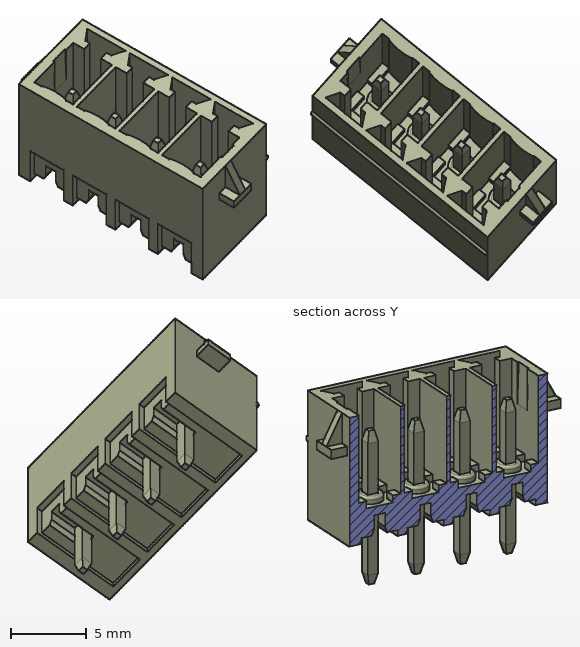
import cadquery as cq


HOUSING_WIDTH = 15.12
HOUSING_DEPTH = 7.0
HOUSING_HEIGHT = 9.2

POLE_COUNT = 4
POLE_PITCH = 3.5
POLE_Y = 2.8
POLE_XS = [(i - (POLE_COUNT - 1) / 2) * POLE_PITCH for i in range(POLE_COUNT)]

FRONT_WALL = 0.74
BACK_WALL = 0.47
CAVITY_WIDTH = 3.17
CAVITY_FLOOR_Z = 3.0
SHOULDER_Y = 5.0
NECK_WIDTH = 1.36
NECK_DEPTH = 0.63
DOVETAIL_ROOT_WIDTH = 2.14
BACK_DRAFT = 0.05

CROSS_RECESS_DEPTH = 0.5
CROSS_WIDTH = 2.0
CROSS_BACK_Y = 4.53
CROSS_BAR_DEPTH = 1.0

BULGE_EDGE = 0.05
BULGE_CROWN = 0.18

BOSS_DIAMETER = 1.8
BOSS_ROUNDING = 0.2

KEY_FRONT_Y = 2.98
KEY_WIDTH = 1.26
KEY_DEPTH = 0.1
KEY_HEIGHT = 2.98

WINDOW_WIDTH = 2.75
WINDOW_HEIGHT = 3.06
WINDOW_DEPTH = 0.42
UNDERCUT_HEIGHT = 0.42
SLOT_HEIGHT = 1.84
FLARE_WIDTH = 0.2
FLARE_HEIGHT = 0.45

OVERALL_WIDTH = 17.5
EAR_REACH = (OVERALL_WIDTH - HOUSING_WIDTH) / 2
EAR_DROP = 2.17
EAR_Y = POLE_Y
EAR_WIDTH = 1.9
EAR_THICKNESS = 0.65
EAR_RIB_WIDTH = 0.6

BEAD_RADIUS = 0.2
BEAD_DROP = 3.45

PIN_SIZE = 0.79
PIN_BOTTOM_Z = -3.5
PIN_TOP_DROP = 1.75
PIN_TOP_Z = HOUSING_HEIGHT - PIN_TOP_DROP
PIN_TIP_SIZE = 0.4
PIN_TIP_LENGTH = 0.79


def block(x_center, width, y_front, y_back, z_bottom, z_top):
    """Box centred on x_center and bounded by the given Y and Z planes."""
    return (
        cq.Workplane("XY")
        .box(width, y_back - y_front, z_top - z_bottom, centered=(True, False, False))
        .translate((x_center, y_front, z_bottom))
    )


def cavity(x):
    """Plug opening: main chamber, narrow neck and a dovetail with a drafted back wall."""
    height = HOUSING_HEIGHT - CAVITY_FLOOR_Z
    neck_back_y = SHOULDER_Y + NECK_DEPTH
    back_y = HOUSING_DEPTH - BACK_WALL
    half_width = CAVITY_WIDTH / 2
    half_root = DOVETAIL_ROOT_WIDTH / 2

    chamber = block(x, CAVITY_WIDTH, FRONT_WALL, SHOULDER_Y, CAVITY_FLOOR_Z, HOUSING_HEIGHT)
    neck = block(x, NECK_WIDTH, SHOULDER_Y, neck_back_y, CAVITY_FLOOR_Z, HOUSING_HEIGHT)
    dovetail = (
        cq.Workplane("XY", origin=(x, 0, CAVITY_FLOOR_Z))
        .moveTo(-half_root, neck_back_y)
        .lineTo(half_root, neck_back_y)
        .lineTo(half_width, back_y)
        .lineTo(-half_width, back_y)
        .close()
        .extrude(height)
    )
    draft_wedge = (
        cq.Workplane("YZ", origin=(x - half_width, 0, 0))
        .moveTo(back_y, CAVITY_FLOOR_Z)
        .lineTo(back_y, HOUSING_HEIGHT)
        .lineTo(back_y - BACK_DRAFT, CAVITY_FLOOR_Z)
        .close()
        .extrude(CAVITY_WIDTH)
    )
    return chamber.union(neck).union(dovetail.cut(draft_wedge))


def cross_recess(x):
    """Shallow cross sunk into the cavity floor around the pin."""
    z_bottom = CAVITY_FLOOR_Z - CROSS_RECESS_DEPTH
    half_bar = CROSS_BAR_DEPTH / 2
    upright = block(x, CROSS_WIDTH, FRONT_WALL, CROSS_BACK_Y, z_bottom, CAVITY_FLOOR_Z)
    bar = block(x, CAVITY_WIDTH, POLE_Y - half_bar, POLE_Y + half_bar, z_bottom, CAVITY_FLOOR_Z)
    return upright.union(bar)


def wall_bulge(x):
    """Curved thickening on the inside of the front wall."""
    half_width = CROSS_WIDTH / 2
    z_bottom = CAVITY_FLOOR_Z - CROSS_RECESS_DEPTH
    return (
        cq.Workplane("XY", origin=(x, FRONT_WALL, z_bottom))
        .moveTo(-half_width, 0)
        .lineTo(-half_width, BULGE_EDGE)
        .threePointArc((0, BULGE_CROWN), (half_width, BULGE_EDGE))
        .lineTo(half_width, 0)
        .close()
        .extrude(HOUSING_HEIGHT - z_bottom)
    )


def pin_boss(x):
    """Round boss standing in the cross recess, with a rounded top edge."""
    return (
        cq.Workplane("XY", origin=(x, POLE_Y, CAVITY_FLOOR_Z - CROSS_RECESS_DEPTH))
        .circle(BOSS_DIAMETER / 2)
        .extrude(CROSS_RECESS_DEPTH)
        .faces(">Z")
        .edges()
        .fillet(BOSS_ROUNDING)
    )


def underside_opening(x):
    """Front window, undercut below the floor and flared slot leading to the pin."""
    half_pin = PIN_SIZE / 2
    half_flare = half_pin + FLARE_WIDTH
    pin_back_y = POLE_Y + half_pin

    window = block(x, WINDOW_WIDTH, 0, WINDOW_DEPTH, 0, WINDOW_HEIGHT)
    undercut = block(x, WINDOW_WIDTH, 0, HOUSING_DEPTH - BACK_WALL, 0, UNDERCUT_HEIGHT)
    slot = block(x, PIN_SIZE, 0, pin_back_y, 0, SLOT_HEIGHT)
    flare = (
        cq.Workplane("XZ", origin=(x, 0, UNDERCUT_HEIGHT))
        .moveTo(-half_flare, 0)
        .lineTo(half_flare, 0)
        .lineTo(half_pin, FLARE_HEIGHT)
        .lineTo(-half_pin, FLARE_HEIGHT)
        .close()
        .extrude(-pin_back_y)
    )
    return window.union(undercut).union(slot).union(flare)


def pin_hole(x):
    """Square hole that the pin fills."""
    half_pin = PIN_SIZE / 2
    return block(x, PIN_SIZE, POLE_Y - half_pin, POLE_Y + half_pin, 0, HOUSING_HEIGHT)


def key_groove(side):
    """Groove in an end wall, deepest at the rim and tapering out below it; side is -1 or 1."""
    wall_x = side * (POLE_XS[-1] + CAVITY_WIDTH / 2)
    return (
        cq.Workplane("XZ", origin=(0, KEY_FRONT_Y, 0))
        .moveTo(wall_x, HOUSING_HEIGHT - KEY_HEIGHT)
        .lineTo(wall_x, HOUSING_HEIGHT)
        .lineTo(wall_x + side * KEY_DEPTH, HOUSING_HEIGHT)
        .close()
        .extrude(-KEY_WIDTH)
    )


def latch_ear(side):
    """Ledge on an end wall with a sloping rib above it; side is -1 or 1."""
    wall_x = side * HOUSING_WIDTH / 2
    ledge_top_z = HOUSING_HEIGHT - EAR_DROP
    ledge = block(
        wall_x + side * EAR_REACH / 2,
        EAR_REACH,
        EAR_Y - EAR_WIDTH / 2,
        EAR_Y + EAR_WIDTH / 2,
        ledge_top_z - EAR_THICKNESS,
        ledge_top_z,
    )
    rib = (
        cq.Workplane("XZ", origin=(0, EAR_Y - EAR_RIB_WIDTH / 2, 0))
        .moveTo(wall_x, ledge_top_z)
        .lineTo(wall_x, HOUSING_HEIGHT)
        .lineTo(wall_x + side * EAR_REACH, ledge_top_z)
        .close()
        .extrude(-EAR_RIB_WIDTH)
    )
    return ledge.union(rib)


def back_bead():
    """Half-round bead along the whole back face."""
    return (
        cq.Workplane("YZ", origin=(-HOUSING_WIDTH / 2, HOUSING_DEPTH, HOUSING_HEIGHT - BEAD_DROP))
        .moveTo(0, -BEAD_RADIUS)
        .threePointArc((BEAD_RADIUS, 0), (0, BEAD_RADIUS))
        .close()
        .extrude(HOUSING_WIDTH)
    )


def make_housing():
    body = block(0, HOUSING_WIDTH, 0, HOUSING_DEPTH, 0, HOUSING_HEIGHT).union(back_bead())
    for side in (-1, 1):
        body = body.union(latch_ear(side)).cut(key_groove(side))
    for x in POLE_XS:
        body = body.cut(cavity(x)).cut(cross_recess(x))
        body = body.union(wall_bulge(x)).union(pin_boss(x))
        body = body.cut(underside_opening(x)).cut(pin_hole(x))
    return body


def make_pin(x):
    """Square pin with a pyramid taper at both ends."""

    def tip(end_z, base_z):
        return (
            cq.Workplane("XY", origin=(x, POLE_Y, base_z))
            .rect(PIN_SIZE, PIN_SIZE)
            .workplane(offset=end_z - base_z)
            .rect(PIN_TIP_SIZE, PIN_TIP_SIZE)
            .loft()
        )

    half_pin = PIN_SIZE / 2
    shank_bottom_z = PIN_BOTTOM_Z + PIN_TIP_LENGTH
    shank_top_z = PIN_TOP_Z - PIN_TIP_LENGTH
    shank = block(x, PIN_SIZE, POLE_Y - half_pin, POLE_Y + half_pin, shank_bottom_z, shank_top_z)
    return shank.union(tip(PIN_BOTTOM_Z, shank_bottom_z)).union(tip(PIN_TOP_Z, shank_top_z))


housing = make_housing()
pins = [make_pin(x) for x in POLE_XS]

result = cq.Compound.makeCompound([housing.val(), *(pin.val() for pin in pins)])